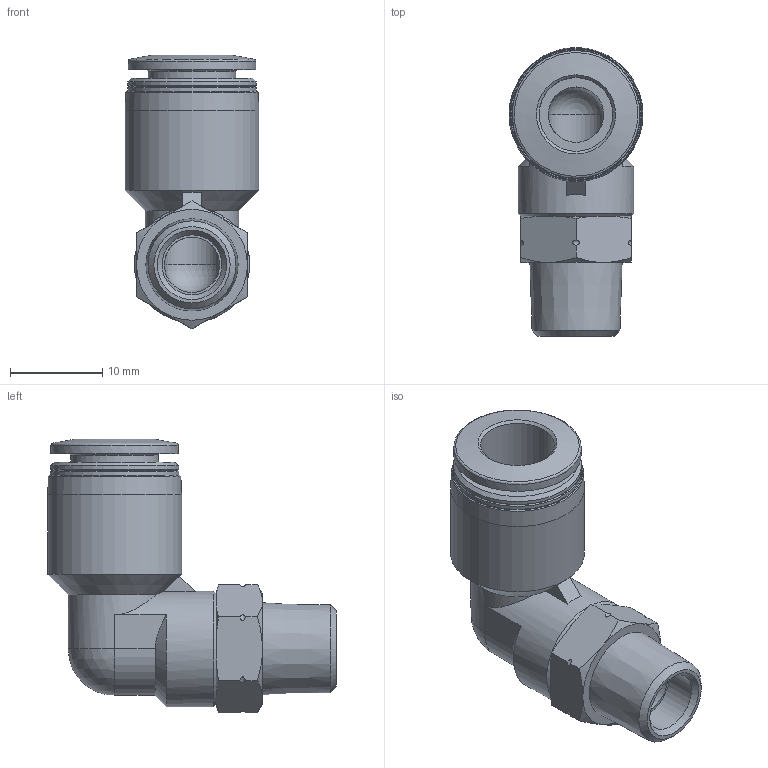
import cadquery as cq
import math


body_radius = 14.5 / 2
body_shoulder_height = 8.05
body_taper_height = 16.7
body_top_height = 18.78
body_top_radius = 7.17
body_top_chamfer = 0.1
ring_radius = 13.9 / 2
ring_top_height = 20.2
ring_chamfer = 0.4
ring_groove_height = 19.3
ring_groove_depth = 0.12
release_neck_radius = 9.5 / 2
release_neck_chamfer = 0.18
cap_radius = 13.8 / 2
cap_bottom_height = 21.13
cap_edge_height = 22.24
cap_edge_fillet = 0.25
cap_top_height = 22.7
tube_bore_radius = 8 / 2
tube_bore_chamfer = 0.28
tube_stop_height = body_shoulder_height

pipe_radius = 10.1 / 2
passage_radius = 6 / 2

collar_radius = 12.5 / 2
collar_start = 5.6
collar_end = 11.0
collar_chamfer = 0.3
nut_end = 16.0
nut_across_flats = 12.0
nut_corner_radius = nut_across_flats / math.sqrt(3)
nut_front_chamfer_angle = 30
nut_back_circle_radius = 6.1
nut_back_chamfer_depth = 0.25
nut_groove_position = 13.87
nut_groove_radius = 0.33
nut_groove_depth = 0.2
thread_length = 8.0
thread_end = nut_end + thread_length
thread_tip_radius = 9.48 / 2
thread_taper = 1 / 32
thread_chamfer_length = 0.65
thread_face_radius = 4.13
thread_bore_radius = 6.49 / 2
thread_bore_end = 20.0
mouth_radius = 3.75
mouth_depth = 0.6

rib_width = 2.0
rib_reach = 14.9


def turned_vertical(profile):
    """Solid of revolution about Z from (radius, height) points."""
    return cq.Workplane("XZ").polyline(profile).close().revolve(360, (0, 0), (0, 1))


def turned_horizontal(profile):
    """Solid of revolution about Y from (radius, distance along -Y) points."""
    points = [(radius, -distance) for radius, distance in profile]
    return cq.Workplane("XY").polyline(points).close().revolve(360, (0, 0), (0, 1))


def thread_radius(distance):
    """Radius of the tapered thread at a distance from the origin."""
    return thread_tip_radius + (thread_end - distance) * thread_taper


def tube_branch():
    cone_bottom = body_shoulder_height - (body_radius - pipe_radius)
    groove_bottom = ring_groove_height - ring_groove_depth
    groove_top = ring_groove_height + ring_groove_depth
    branch = turned_vertical([
        (0, 0),
        (pipe_radius, 0),
        (pipe_radius, cone_bottom),
        (body_radius, body_shoulder_height),
        (body_radius, body_taper_height),
        (body_top_radius, body_top_height - body_top_chamfer),
        (body_top_radius - body_top_chamfer, body_top_height),
        (ring_radius, body_top_height),
        (ring_radius, groove_bottom),
        (ring_radius - ring_groove_depth, ring_groove_height),
        (ring_radius, groove_top),
        (ring_radius, ring_top_height - ring_chamfer),
        (ring_radius - ring_chamfer, ring_top_height),
        (release_neck_radius, ring_top_height),
        (release_neck_radius, cap_bottom_height - release_neck_chamfer),
        (release_neck_radius + release_neck_chamfer, cap_bottom_height),
        (cap_radius, cap_bottom_height),
        (cap_radius, cap_edge_height),
        (tube_bore_radius + tube_bore_chamfer, cap_top_height),
        (0, cap_top_height),
    ])
    cap_edge = cq.selectors.NearestToPointSelector((0, 0, cap_edge_height))
    return branch.edges("%CIRCLE").edges(cap_edge).fillet(cap_edge_fillet)


def collar_branch():
    cone_start = collar_start - (collar_radius - pipe_radius)
    return turned_horizontal([
        (0, 0),
        (pipe_radius, 0),
        (pipe_radius, cone_start),
        (collar_radius, collar_start),
        (collar_radius, collar_end - collar_chamfer),
        (collar_radius - collar_chamfer, collar_end),
        (0, collar_end),
    ])


def saddle():
    """Upper half of the collar carried back over the elbow, between side flats."""
    full = turned_horizontal([
        (0, 0),
        (collar_radius, 0),
        (collar_radius, collar_start),
        (0, collar_start),
    ])
    upper_half = cq.Workplane("XY").box(
        2 * pipe_radius, 2 * collar_start, collar_radius, centered=(True, True, False)
    )
    return full.intersect(upper_half)


def nut():
    corner_up_angle = 30
    length = nut_end - collar_end
    hexagon = (
        cq.Workplane("XZ", origin=(0, -collar_end, 0))
        .polygon(6, 2 * nut_corner_radius)
        .extrude(length)
        .rotate((0, 0, 0), (0, 1, 0), corner_up_angle)
    )
    front_circle_radius = nut_across_flats / 2
    corner_height = nut_corner_radius - front_circle_radius
    front_depth = corner_height * math.tan(math.radians(nut_front_chamfer_angle))
    envelope = turned_horizontal([
        (0, collar_end),
        (nut_back_circle_radius, collar_end),
        (nut_corner_radius, collar_end + nut_back_chamfer_depth),
        (nut_corner_radius, nut_end - front_depth),
        (front_circle_radius, nut_end),
        (0, nut_end),
    ])
    groove_centre_radius = nut_corner_radius - nut_groove_depth + nut_groove_radius
    groove = (
        cq.Workplane("XY")
        .center(groove_centre_radius, -nut_groove_position)
        .circle(nut_groove_radius)
        .revolve(360, (-groove_centre_radius, 0), (-groove_centre_radius, 1))
    )
    return hexagon.intersect(envelope).cut(groove)


def thread():
    chamfer_start = thread_end - thread_chamfer_length
    return turned_horizontal([
        (0, nut_end),
        (thread_radius(nut_end), nut_end),
        (thread_radius(chamfer_start), chamfer_start),
        (thread_face_radius, thread_end),
        (0, thread_end),
    ])


def rib():
    """Triangular web under the 45 degree face, between body cone and collar."""
    rib_foot_height = pipe_radius
    rib_top_height = (rib_reach + body_shoulder_height - body_radius) / 2
    return (
        cq.Workplane("YZ", origin=(-rib_width / 2, 0, 0))
        .moveTo(-pipe_radius, rib_foot_height)
        .lineTo(rib_foot_height - rib_reach, rib_foot_height)
        .lineTo(rib_top_height - rib_reach, rib_top_height)
        .lineTo(-pipe_radius, rib_top_height)
        .close()
        .extrude(rib_width)
    )


def tube_passage():
    return turned_vertical([
        (0, 0),
        (passage_radius, 0),
        (passage_radius, tube_stop_height),
        (tube_bore_radius, tube_stop_height),
        (tube_bore_radius, cap_top_height - tube_bore_chamfer),
        (tube_bore_radius + tube_bore_chamfer, cap_top_height),
        (0, cap_top_height),
    ])


def thread_passage():
    return turned_horizontal([
        (0, 0),
        (passage_radius, 0),
        (passage_radius, thread_bore_end),
        (thread_bore_radius, thread_bore_end),
        (thread_bore_radius, thread_end - mouth_depth),
        (mouth_radius, thread_end),
        (0, thread_end),
    ])


outside = (
    tube_branch()
    .union(cq.Workplane("XY").sphere(pipe_radius))
    .union(collar_branch())
    .union(saddle())
    .union(nut())
    .union(thread())
    .union(rib())
)

inside = (
    tube_passage()
    .union(cq.Workplane("XY").sphere(passage_radius))
    .union(thread_passage())
)

result = outside.cut(inside)